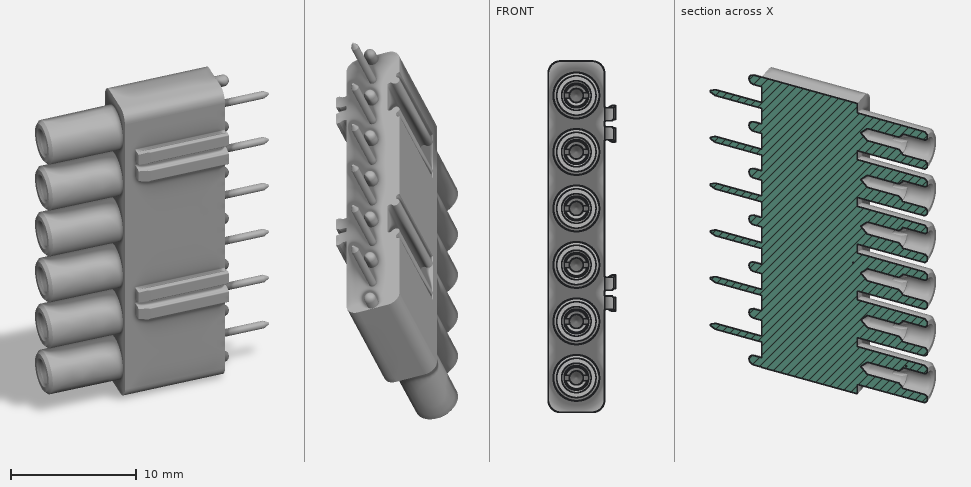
import cadquery as cq
import math

overall_height = 28.0
contact_count = 6
end_margin = 0.5
pitch = (overall_height - 2 * end_margin) / contact_count
body_width = 4.5
body_depth = 8.5
corner_radius = 1.0

sleeve_length = 6.22
sleeve_root_radius = 1.85
sleeve_tip_radius = 1.82
sleeve_chamfer = 0.25

mouth_radius = 1.18
socket_radius = 0.98
socket_depth = 2.25
funnel_radius = 0.87
pin_bore_radius = 0.55
pin_bore_length = 2.8
slit_width = 0.45
slit_depth = 1.12

pin_length = 4.55
pin_radius = 0.3
pin_tip_length = 0.45
pin_point_radius = 0.08
post_length = 1.15
post_radius = 0.48

rail_front = 0.9
rail_height = 0.9
rail_inner_offset = 0.22
rail_inner_bevel = 0.1
rail_neck_offset = 1.3
rail_hook_offset = 1.45
neck_height = 0.3
hook_height = 0.6
rail_root_fillet = 0.08
rail_tip_fillet = 0.1
lead_in_length = 0.95
lead_in_drop = 0.182

groove_half_height = 2.45
groove_floor_depth = 1.05
groove_corner_radius = 0.22
dip_depth = 0.3
dip_middle_offset = 2.18
dip_inner_offset = 1.9
lip_radius = 0.35
lip_middle_offset = 1.62

overlap = 0.15
selection_margin = 0.03

half_width = body_width / 2
rail_length = body_depth - rail_front
contact_heights = [(i - (contact_count - 1) / 2) * pitch for i in range(contact_count)]
post_heights = [(i - contact_count / 2) * pitch for i in range(contact_count + 1)]
rail_heights = [2 * pitch, -pitch]


def revolve_along_y(profile):
    """Revolve a closed outline of (Y, radius) points about the Y axis."""
    return cq.Workplane("YZ").polyline(profile).close().revolve(360, (0, 0, 0), (1, 0, 0))


def place_all(base, shape, heights, join):
    for height in heights:
        moved = shape.translate((0, 0, height))
        base = base.union(moved) if join else base.cut(moved)
    return base


def extrude_from_rail_front(outline):
    """Extrude an XZ outline from the rail's front end to the back of the body."""
    return outline.extrude(-rail_length).translate((0, rail_front, 0))


def make_body():
    return (
        cq.Workplane("XZ")
        .rect(body_width, overall_height)
        .extrude(-body_depth)
        .edges("|Y")
        .fillet(corner_radius)
    )


def make_sleeve():
    """Slightly tapered sleeve with a chamfered rim."""
    return revolve_along_y([
        (0, 0),
        (0, sleeve_root_radius),
        (sleeve_chamfer - sleeve_length, sleeve_tip_radius),
        (-sleeve_length, sleeve_tip_radius - sleeve_chamfer),
        (-sleeve_length, 0),
    ])


def make_socket_bore():
    """Countersunk socket, funnel, contact bore with a conical end, and side slits."""
    mouth_y = -sleeve_length
    contact_y = mouth_y + socket_depth
    bore_y = contact_y + funnel_radius - pin_bore_radius
    end_y = bore_y + pin_bore_length
    bore = revolve_along_y([
        (mouth_y, 0),
        (mouth_y, mouth_radius),
        (mouth_y + mouth_radius - socket_radius, socket_radius),
        (contact_y, socket_radius),
        (contact_y, funnel_radius),
        (bore_y, pin_bore_radius),
        (end_y, pin_bore_radius),
        (end_y + pin_bore_radius, 0),
    ])
    slits = cq.Workplane("XY").box(2 * socket_radius, slit_depth, slit_width)
    slits = slits.translate((0, contact_y + slit_depth / 2, 0))
    socket = cq.Workplane("XZ").circle(socket_radius).extrude(sleeve_length)
    return bore.union(slits.intersect(socket))


def make_pin():
    tip_y = body_depth + pin_length
    return revolve_along_y([
        (body_depth, 0),
        (body_depth, pin_radius),
        (tip_y - pin_tip_length, pin_radius),
        (tip_y, pin_point_radius),
        (tip_y, 0),
    ])


def make_post():
    """Round post with a domed end."""
    tip_y = body_depth + post_length
    dome_y = tip_y - post_radius
    diagonal = post_radius * math.sqrt(0.5)
    return (
        cq.Workplane("YZ")
        .moveTo(body_depth, 0)
        .lineTo(body_depth, post_radius)
        .lineTo(dome_y, post_radius)
        .threePointArc((dome_y + diagonal, diagonal), (tip_y, 0))
        .close()
        .revolve(360, (0, 0, 0), (1, 0, 0))
    )


def make_half_rail():
    """Upper hooked rail of a pair, sloped at its front end to guide assembly."""
    root_x = half_width
    tip_x = half_width + rail_height
    hook_x = root_x + hook_height
    root_block = (
        cq.Workplane("XZ")
        .moveTo(root_x - overlap / 2, (rail_inner_offset + rail_neck_offset) / 2)
        .rect(overlap, rail_neck_offset - rail_inner_offset + 2 * overlap)
    )
    hook_outline = cq.Workplane("XZ").polyline([
        (root_x - overlap, rail_inner_offset),
        (hook_x, rail_inner_offset),
        (hook_x + rail_inner_bevel, rail_inner_offset + rail_inner_bevel),
        (tip_x, rail_inner_offset + rail_inner_bevel),
        (tip_x, rail_hook_offset),
        (hook_x, rail_hook_offset),
        (root_x + neck_height, rail_neck_offset),
        (root_x - overlap, rail_neck_offset),
    ]).close()
    rail = extrude_from_rail_front(hook_outline).union(extrude_from_rail_front(root_block))
    rounded_edges = (
        (root_x, rail_neck_offset, rail_root_fillet),
        (tip_x, rail_hook_offset, rail_tip_fillet),
    )
    for edge_x, outer_offset, radius in rounded_edges:
        near_edge = cq.selectors.BoxSelector(
            (edge_x - selection_margin, 0, rail_inner_offset - selection_margin),
            (edge_x + selection_margin, body_depth, outer_offset + selection_margin),
        )
        rail = rail.edges("|Y").edges(near_edge).fillet(radius)

    lead_in_end = rail_front + lead_in_length
    tip_wedge = (
        cq.Workplane("XY")
        .polyline([
            (tip_x - lead_in_drop, rail_front),
            (tip_x, lead_in_end),
            (tip_x + overlap, lead_in_end),
            (tip_x + overlap, rail_front),
        ])
        .close()
        .extrude(2 * rail_hook_offset)
    )
    hook_wedge = (
        cq.Workplane("YZ")
        .polyline([
            (rail_front, rail_neck_offset),
            (lead_in_end, rail_hook_offset),
            (lead_in_end, rail_hook_offset + overlap),
            (rail_front, rail_hook_offset + overlap),
        ])
        .close()
        .extrude(2 * rail_height)
        .translate((root_x + neck_height / 2, 0, 0))
    )
    return rail.cut(tip_wedge).cut(hook_wedge)


def make_half_groove():
    """Upper half of a groove: an undercut pocket behind a round lip beside a dip."""
    diagonal = math.sqrt(0.5)

    def at(depth, offset):
        return (depth - half_width, offset)

    crest_depth = lip_radius - math.sqrt(lip_radius**2 - (dip_inner_offset - lip_middle_offset)**2)
    lip_end_depth = lip_radius * (1 + diagonal)
    lip_end_offset = lip_middle_offset - lip_radius * diagonal

    corner_depth = groove_floor_depth - groove_corner_radius
    corner_start_depth = corner_depth - groove_corner_radius * diagonal
    corner_start_offset = lip_end_offset + corner_start_depth - lip_end_depth
    corner_offset = corner_start_offset - groove_corner_radius * diagonal
    corner_sweep = math.radians(135)
    corner_middle_angle = corner_sweep / 2

    outline = (
        cq.Workplane("XZ")
        .moveTo(*at(-overlap, 0))
        .lineTo(*at(-overlap, groove_half_height))
        .lineTo(*at(0, groove_half_height))
        .threePointArc(at(dip_depth, dip_middle_offset), at(crest_depth, dip_inner_offset))
        .threePointArc(at(0, lip_middle_offset), at(lip_end_depth, lip_end_offset))
        .lineTo(*at(corner_start_depth, corner_start_offset))
        .threePointArc(
            at(
                corner_depth + groove_corner_radius * math.cos(corner_middle_angle),
                corner_offset + groove_corner_radius * math.sin(corner_middle_angle),
            ),
            at(groove_floor_depth, corner_offset),
        )
        .lineTo(*at(groove_floor_depth, 0))
        .close()
    )
    return extrude_from_rail_front(outline)


def with_mirror(half):
    return half.union(half.mirror("XY"))


result = make_body()
result = place_all(result, make_sleeve(), contact_heights, True)
result = place_all(result, make_pin(), contact_heights, True)
result = place_all(result, make_post(), post_heights, True)
result = place_all(result, with_mirror(make_half_rail()), rail_heights, True)
result = place_all(result, make_socket_bore(), contact_heights, False)
result = place_all(result, with_mirror(make_half_groove()), rail_heights, False)